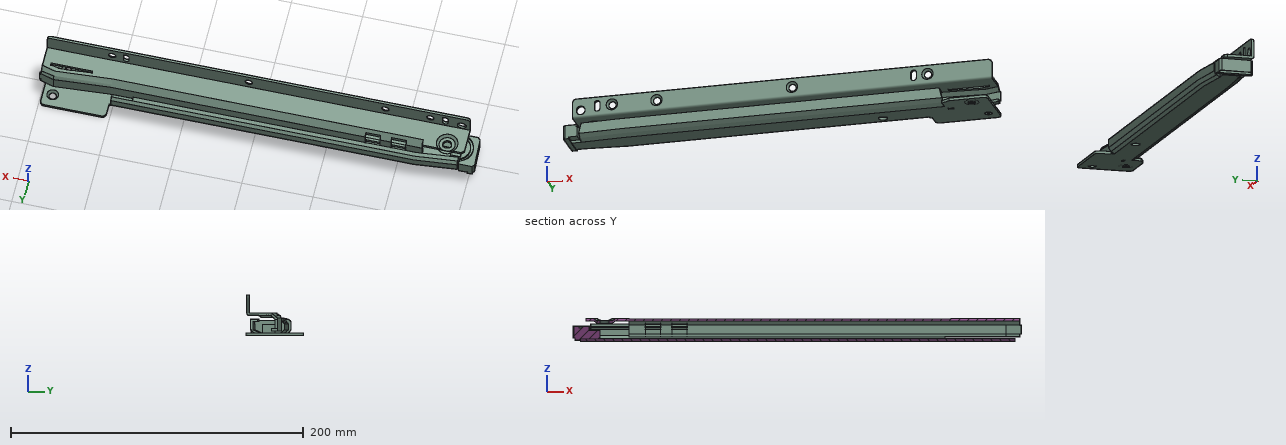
import cadquery as cq

LENGTH = 306.5
SHEET = 1.8

RAIL_START = 8.5
RAIL_END = 305.7
FLANGE_FRONT = 0.5
FLANGE_TOP = 28.0
FLANGE_CORNER = 2.8
BEND_RADIUS = 1.5
PLATE_BOTTOM = 13.8
PLATE_TOP = PLATE_BOTTOM + SHEET
PLATE_EDGE = 17.2
HEAD_EDGE = 21.5
WEB_START = 38.0
WEB_BACK = 21.8
WEB_TOP = 12.0
FOOT_BOTTOM = 3.0
FOOT_FRONT = 17.5
SWAY_START = 256.0
SWAY_PEAK = 296.2
SWAY = 2.8
CREASE_INSET = 1.5
CREASE_RISE = 1.0

SCREW_X = (36.5, 68.0, 164.0, 260.0)
FLANGE_HOLE_Z = 21.5
SCREW_HOLE = 5.0
SCREW_SINK = 8.0
SLOT_X = (26.0, 250.2)
SLOT_WIDTH = 4.0
SLOT_HEIGHT = 7.7
CORNER_HOLE_X = 14.5
CORNER_HOLE_Z = 19.3
CORNER_HOLE = 6.0

DIMPLE_X = 21.5
DIMPLE_Y = 16.3
DIMPLE_OUTER = 7.5
DIMPLE_INNER = 5.5
DIMPLE_HOLE = 3.0
DIMPLE_DEPTH = 1.5

WINDOW_START = 271.0
WINDOW_END = 300.2
WINDOW_FRONT = 14.0
WINDOW_BACK = 15.5
WINDOW_PEAK_X = 292.8
WINDOW_PEAK_Y = 17.2

NOTCH_X = (54.5, 72.7)
NOTCH_LENGTH = 10.5
NOTCH_FRONT = 19.3

TRACK_FRONT = 3.0
TRACK_BACK = 31.0
TRACK_BASE_START = 5.0
TRACK_WALL_START = 12.0
TAPER_END = 41.5
FRONT_TAPER = 1.2
BACK_TAPER = 2.8
FRONT_WALL_END = 267.7
FLARE_START = 239.8
BACK_WALL_END = 254.5
BEVEL_LOW = 1.5
BEVEL_HIGH = 4.0
BEVEL_SHARE = 0.45
FRONT_FLOOR_INSET = 6.7
BACK_FLOOR_INSET = 4.3
FRONT_WALL_TOP = 11.3
BACK_WALL_TOP = 9.8
SHOULDER_TOP = 11.3
SHOULDER_INSET = 2.0
LIP_TOP = 12.0
LIP_INSET = 5.0
FLARE_DROP = 1.8
WALL_END_SLANT = 1.8

TAB_START = 256.0
TAB_END = 302.3
TAB_BACK = 39.5
TAB_CORNER = 3.0
FRONT_TAB_START = 275.7
TAB_HOLE_X = 295.3
TAB_HOLE_Y = 30.5
MOUNT_X = 289.5
MOUNT_Y = 8.0
MOUNT_OUTER = 6.7
MOUNT_INNER = 5.0
MOUNT_HOLE = 2.5
MOUNT_DEPTH = 1.2
BASE_HOLE_X = 223.2
BASE_HOLE_Y = 21.0
BASE_HOLE = 6.0
BASE_WINDOW_START = 271.0
BASE_WINDOW_END = 274.7

CAP_FRONT = 3.7
CAP_BACK = 27.5
CAP_SKEW = 1.0
CAP_HEAD_END = 11.0
CAP_TONGUE_END = 18.5
CAP_TONGUE_INSET = 7.7
CAP_TOP = 10.5
CAP_TONGUE_TOP = 9.5
CAP_FACE_BOTTOM = 2.0
CAP_LIP_BOTTOM = 0.5
CAP_LIP_SETBACK = 1.2
CAP_CORNER = 1.5
GROOVE_X = 15.0
GROOVE_Y = 14.7
GROOVE_OUTER = 11.3
GROOVE_WIDTH = 1.8
GROOVE_DEPTH = 1.2


def box(x0, x1, y0, y1, z0, z1):
    return cq.Workplane("XY").box(x1 - x0, y1 - y0, z1 - z0, centered=False).translate((x0, y0, z0))


def section_wire(points, x):
    return cq.Wire.makePolygon([cq.Vector(x, y, z) for y, z in points], close=True)


def ruled_bar(first, first_x, last, last_x):
    """Solid with straight edges between two sections across X."""
    wires = [section_wire(first, first_x), section_wire(last, last_x)]
    return cq.Workplane(cq.Solid.makeLoft(wires, True))


def vertical_cone(x, y, bottom_z, bottom_radius, top_radius, height):
    return cq.Workplane(cq.Solid.makeCone(bottom_radius, top_radius, height, cq.Vector(x, y, bottom_z)))


def vertical_hole(x, y, radius, z0, z1):
    return cq.Workplane("XY", origin=(x, y, z0)).circle(radius).extrude(z1 - z0)


def dished_hole(x, y, top, outer, inner, depth, hole):
    """Cutter for a flat-bottomed dish with a hole through its floor."""
    dish = vertical_cone(x, y, top - depth, inner, outer, depth)
    return dish.union(vertical_hole(x, y, hole, top - depth - SHEET, top))


def flange_and_plate():
    flange = box(RAIL_START, RAIL_END, FLANGE_FRONT, FLANGE_FRONT + SHEET, PLATE_BOTTOM, FLANGE_TOP)
    top_corners = cq.selectors.BoxSelector(
        (0, 0, FLANGE_TOP - SHEET), (LENGTH + 3, TRACK_BACK, FLANGE_TOP + SHEET)
    )
    flange = flange.edges("|Y").edges(top_corners).fillet(FLANGE_CORNER)
    plate_outline = [
        (RAIL_START, FLANGE_FRONT),
        (RAIL_END, FLANGE_FRONT),
        (RAIL_END, PLATE_EDGE),
        (SWAY_PEAK, PLATE_EDGE + SWAY),
        (SWAY_START, PLATE_EDGE),
        (WEB_START, PLATE_EDGE),
        (WEB_START, HEAD_EDGE),
        (RAIL_START + SHEET, HEAD_EDGE),
        (RAIL_START, HEAD_EDGE - SHEET),
    ]
    plate = cq.Workplane("XY", origin=(0, 0, PLATE_BOTTOM)).polyline(plate_outline).close().extrude(SHEET)
    angle = flange.union(plate)
    return angle.edges("|X and <Y and <Z").fillet(BEND_RADIUS)


def web_section(sway):
    """Slope from the top plate, upright web and foot, moved back by the sway."""
    slope = (PLATE_TOP - WEB_TOP) / (WEB_BACK - PLATE_EDGE)
    crease_z = WEB_TOP + CREASE_INSET * slope + CREASE_RISE * sway / SWAY
    points = [
        (PLATE_EDGE, PLATE_TOP),
        (WEB_BACK - CREASE_INSET, crease_z),
        (WEB_BACK, WEB_TOP),
        (WEB_BACK, FOOT_BOTTOM),
        (FOOT_FRONT, FOOT_BOTTOM),
        (FOOT_FRONT, FOOT_BOTTOM + SHEET),
        (WEB_BACK - SHEET, FOOT_BOTTOM + SHEET),
        (WEB_BACK - SHEET, WEB_TOP - SHEET / 2),
        (PLATE_EDGE, PLATE_BOTTOM),
    ]
    return [(y + sway, z) for y, z in points]


def web():
    stations = [(WEB_START, 0), (SWAY_START, 0), (SWAY_PEAK, SWAY), (RAIL_END, 0)]
    body = None
    for (x0, sway0), (x1, sway1) in zip(stations, stations[1:]):
        length = ruled_bar(web_section(sway0), x0, web_section(sway1), x1)
        body = length if body is None else body.union(length)
    nose = box(RAIL_END, LENGTH, WEB_BACK - SHEET, WEB_BACK, FOOT_BOTTOM + SHEET, WEB_TOP - SHEET / 2)
    body = body.union(nose)
    for x in NOTCH_X:
        half = NOTCH_LENGTH / 2
        body = body.cut(box(x - half, x + half, NOTCH_FRONT, TRACK_BACK, FOOT_BOTTOM, PLATE_TOP))
    return body


def flange_cutters():
    face = cq.Workplane("XZ", origin=(0, FLANGE_FRONT + SHEET, 0))
    slots = face.pushPoints([(x, FLANGE_HOLE_Z) for x in SLOT_X])
    cutters = slots.slot2D(SLOT_HEIGHT, SLOT_WIDTH, 90).extrude(SHEET)
    corner_hole = face.center(CORNER_HOLE_X, CORNER_HOLE_Z).circle(CORNER_HOLE / 2)
    cutters = cutters.union(corner_hole.extrude(SHEET))
    for x in SCREW_X:
        mouth = cq.Vector(x, FLANGE_FRONT, FLANGE_HOLE_Z)
        sink = cq.Solid.makeCone(SCREW_SINK / 2, SCREW_HOLE / 2, SHEET, mouth, cq.Vector(0, 1, 0))
        cutters = cutters.union(cq.Workplane(sink))
    return cutters


def plate_window():
    outline = [
        (WINDOW_START, WINDOW_FRONT),
        (WINDOW_END, WINDOW_FRONT),
        (WINDOW_END, WINDOW_BACK),
        (WINDOW_PEAK_X, WINDOW_PEAK_Y),
        (WINDOW_START, WINDOW_BACK),
    ]
    return cq.Workplane("XY", origin=(0, 0, PLATE_BOTTOM)).polyline(outline).close().extrude(SHEET)


def upper_rail():
    boss = vertical_cone(
        DIMPLE_X, DIMPLE_Y, PLATE_BOTTOM - DIMPLE_DEPTH, DIMPLE_INNER, DIMPLE_OUTER, DIMPLE_DEPTH
    )
    rail = flange_and_plate().union(web()).union(boss)
    rail = rail.cut(
        dished_hole(DIMPLE_X, DIMPLE_Y, PLATE_TOP, DIMPLE_OUTER, DIMPLE_INNER, DIMPLE_DEPTH, DIMPLE_HOLE)
    )
    return rail.cut(flange_cutters()).cut(plate_window())


def wall_section(edge, inward, floor_inset, top, lip_drop=0.0):
    """Bent wall section: edge is its outer face, inward is +1 or -1 along Y, top lists its lip points."""
    lip_inset, lip_z = top[-1]
    outer = [(floor_inset, 0), (BEVEL_SHARE * floor_inset, BEVEL_LOW), (0, BEVEL_HIGH)]
    outer += top[:-1] + [(lip_inset, lip_z - lip_drop), (lip_inset, lip_z - lip_drop - SHEET)]
    inner = [(inset + SHEET / 2, z - SHEET) for inset, z in reversed(top[1:-1])]
    inner += [(SHEET, top[0][1] - SHEET), (SHEET, BEVEL_HIGH), (floor_inset, SHEET)]
    return [(edge + inward * inset, z) for inset, z in outer + inner]


def front_wall():
    top = [(0, FRONT_WALL_TOP), (LIP_INSET, FRONT_WALL_TOP)]
    straight = wall_section(TRACK_FRONT, 1, FRONT_FLOOR_INSET, top)
    tapered = wall_section(TRACK_FRONT + FRONT_TAPER, 1, FRONT_FLOOR_INSET, top)
    end = FRONT_WALL_END + WALL_END_SLANT
    wall = ruled_bar(tapered, TRACK_WALL_START, straight, TAPER_END)
    wall = wall.union(ruled_bar(straight, TAPER_END, straight, end))
    slants = ((TRACK_WALL_START, TRACK_WALL_START + WALL_END_SLANT), (end, FRONT_WALL_END))
    for bottom_x, top_x in slants:
        corner = [(bottom_x, BEVEL_HIGH), (top_x, FRONT_WALL_TOP), (bottom_x, FRONT_WALL_TOP)]
        wall = wall.cut(cq.Workplane("XZ").polyline(corner).close().extrude(-TRACK_BACK / 2))
    return wall


def back_wall():
    top = [(0, BACK_WALL_TOP), (SHOULDER_INSET, SHOULDER_TOP), (LIP_INSET, LIP_TOP)]
    straight = wall_section(TRACK_BACK, -1, BACK_FLOOR_INSET, top)
    tapered = wall_section(TRACK_BACK - BACK_TAPER, -1, BACK_FLOOR_INSET, top)
    flared = wall_section(TRACK_BACK, -1, BACK_FLOOR_INSET, top, FLARE_DROP)
    wall = ruled_bar(tapered, TRACK_WALL_START, straight, TAPER_END)
    wall = wall.union(ruled_bar(straight, TAPER_END, straight, FLARE_START))
    return wall.union(ruled_bar(flared, FLARE_START, flared, BACK_WALL_END))


def base():
    front = TRACK_FRONT + FRONT_FLOOR_INSET
    back = TRACK_BACK - BACK_FLOOR_INSET
    outline = [
        (TRACK_BASE_START, front + FRONT_TAPER),
        (TRACK_WALL_START, front + FRONT_TAPER),
        (TAPER_END, front),
        (FRONT_WALL_END + WALL_END_SLANT, front),
        (FRONT_WALL_END + WALL_END_SLANT, TRACK_FRONT),
        (FRONT_TAB_START, 0),
        (TAB_END, 0),
        (TAB_END, TAB_BACK),
        (TAB_START, TAB_BACK),
        (TAB_START, TRACK_BACK - BACK_FLOOR_INSET / 2),
        (BACK_WALL_END, TRACK_BACK - BACK_FLOOR_INSET / 2),
        (BACK_WALL_END, back),
        (TAPER_END, back),
        (TRACK_WALL_START, back - BACK_TAPER),
        (TRACK_BASE_START, back - BACK_TAPER),
    ]
    plate = cq.Workplane("XY").polyline(outline).close().extrude(SHEET)
    plate = plate.edges("|Z and >X").fillet(TAB_CORNER)
    return plate.edges("|Z and >Y").edges("<X").fillet(TAB_CORNER)


def track():
    body = base().union(front_wall()).union(back_wall())
    body = body.cut(vertical_cone(TAB_HOLE_X, TAB_HOLE_Y, 0, SCREW_HOLE / 2, SCREW_SINK / 2, SHEET))
    body = body.cut(dished_hole(MOUNT_X, MOUNT_Y, SHEET, MOUNT_OUTER, MOUNT_INNER, MOUNT_DEPTH, MOUNT_HOLE))
    body = body.cut(vertical_hole(BASE_HOLE_X, BASE_HOLE_Y, BASE_HOLE / 2, 0, SHEET))
    window = box(BASE_WINDOW_START, BASE_WINDOW_END, WINDOW_FRONT, WINDOW_BACK, 0, SHEET)
    return body.cut(window)


def end_cap():
    outline = [
        (CAP_SKEW, CAP_FRONT + CAP_CORNER),
        (CAP_SKEW + CAP_CORNER, CAP_FRONT),
        (CAP_HEAD_END, CAP_FRONT),
        (CAP_HEAD_END, CAP_BACK),
        (CAP_CORNER, CAP_BACK),
        (0, CAP_BACK - CAP_CORNER),
    ]
    head = cq.Workplane("XY", origin=(0, 0, CAP_LIP_BOTTOM)).polyline(outline).close()
    head = head.extrude(CAP_TOP - CAP_LIP_BOTTOM)
    head = head.cut(box(TRACK_BASE_START, CAP_HEAD_END, 0, TRACK_BACK, 0, SHEET))
    head = head.cut(box(0, CAP_LIP_SETBACK, 0, TRACK_BACK, 0, CAP_FACE_BOTTOM))
    tongue = box(
        CAP_HEAD_END, CAP_TONGUE_END,
        CAP_FRONT + CAP_TONGUE_INSET, CAP_BACK - CAP_TONGUE_INSET,
        SHEET, CAP_TONGUE_TOP - SHEET,
    )
    groove = cq.Workplane("XY", origin=(GROOVE_X, GROOVE_Y, CAP_TOP - GROOVE_DEPTH))
    groove = groove.circle(GROOVE_OUTER).circle(GROOVE_OUTER - GROOVE_WIDTH).extrude(GROOVE_DEPTH)
    return head.cut(groove).union(tongue)


result = cq.Compound.makeCompound([upper_rail().val(), track().val(), end_cap().val()])